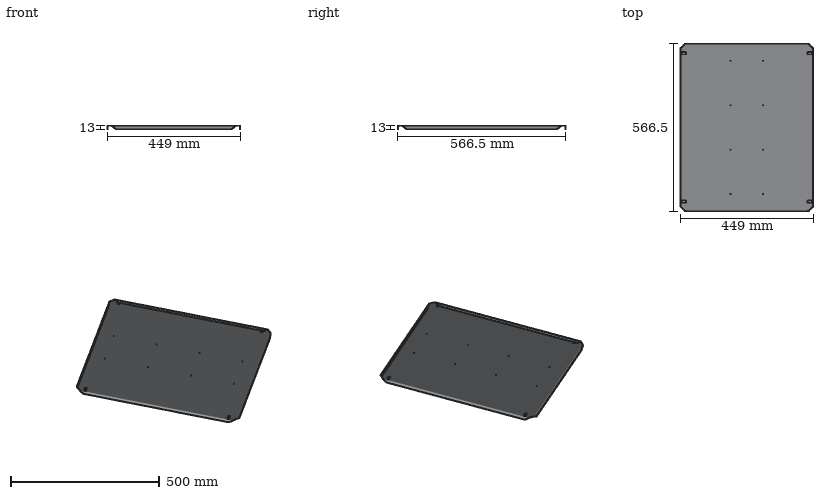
import cadquery as cq

width = 449.0
length = 566.5
height = 13.0
thickness = 1.55
bend_radius = 3.0
inner_bend_radius = bend_radius - thickness

corner_cut = 17.0
flange_slope_run = 12.5

slot_pitch = 501.5
slot_edge_gap = 4.0
slot_length = 15.5
slot_width = 7.0

pilot_diameter = 1.0
pilot_columns = 2
pilot_rows = 4
pilot_column_pitch = 110.0
pilot_row_pitch = 150.0


def tray_shell():
    """Open-bottom shell with rounded bends, top face at Z = 0."""
    outer = cq.Workplane("XY").box(width, length, height, centered=(True, True, False))
    outer = outer.faces(">Z").edges().fillet(bend_radius)
    inner = cq.Workplane("XY").box(
        width - 2 * thickness,
        length - 2 * thickness,
        height - thickness,
        centered=(True, True, False),
    )
    inner = inner.faces(">Z").edges().fillet(inner_bend_radius)
    return outer.cut(inner).translate((0, 0, -height))


def plan_outline():
    """Full-height block with the four plate corners cut off."""
    block = cq.Workplane("XY").box(width, length, height, centered=(True, True, False))
    return block.edges("|Z").chamfer(corner_cut).translate((0, 0, -height))


def flange_end_cutter(plane, span, depth, x_side):
    """Wedge removing the sloped end of both opposite flanges below the bend."""
    upper = span / 2 - corner_cut
    lower = upper - flange_slope_run
    points = [(upper, -bend_radius), (span / 2, -bend_radius), (span / 2, -height), (lower, -height)]
    return (
        cq.Workplane(plane)
        .polyline([(x_side * u, z) for u, z in points])
        .close()
        .extrude(depth / 2, both=True)
    )


def slope_flange_ends(body):
    """Taper the ends of each flange without touching the adjacent flanges."""
    for plane, span, depth in (("XZ", width, length), ("YZ", length, width)):
        core_depth = depth - 2 * bend_radius
        core = cq.Workplane(plane).rect(2 * span, 4 * height).extrude(core_depth / 2, both=True)
        for side in (-1, 1):
            body = body.cut(flange_end_cutter(plane, span, depth, side).cut(core))
    return body


def mounting_slots():
    """Four round-ended slots through the plate, near its corners."""
    slot_column_pitch = width - 2 * slot_edge_gap - slot_length
    return (
        cq.Workplane("XY")
        .workplane(offset=-thickness)
        .rarray(slot_column_pitch, slot_pitch, 2, 2)
        .slot2D(slot_length, slot_width)
        .extrude(thickness)
    )


def pilot_holes():
    """Grid of small through holes in the plate."""
    return (
        cq.Workplane("XY")
        .workplane(offset=-thickness)
        .rarray(pilot_column_pitch, pilot_row_pitch, pilot_columns, pilot_rows)
        .circle(pilot_diameter / 2)
        .extrude(thickness)
    )


result = slope_flange_ends(tray_shell().intersect(plan_outline()))
result = result.cut(mounting_slots())
result = result.cut(pilot_holes())